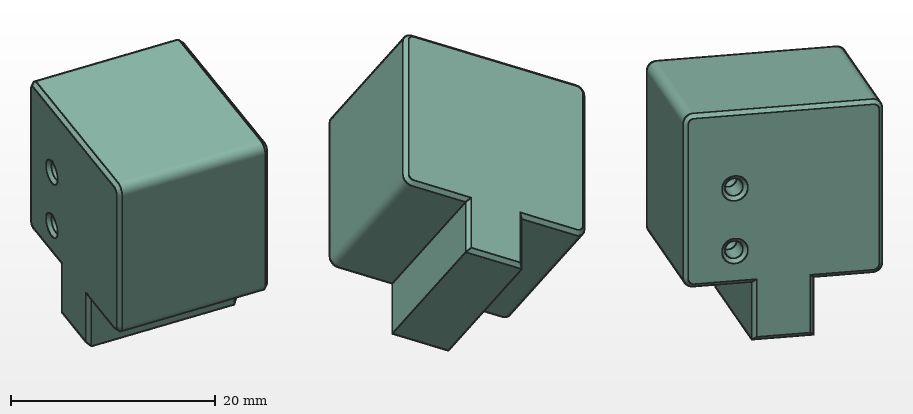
import cadquery as cq
import math

width = 20.0
depth = 16.35
height = 24.0

tongue_width = 6.2
tongue_height = 6.0

corner_radius = 1.0
edge_chamfer = 0.4

hole_diameter = 1.8
hole_mouth_diameter = 2.6
hole_depth = 3.0
drill_point_angle = 118
hole_x = -4.9
lower_hole_z = 9.5
hole_spacing = 6.5

front_y = -depth / 2


def make_block():
    """Rounded block with its four long edges filleted."""
    block_height = height - tongue_height
    block = cq.Workplane("XY").box(width, depth, block_height, centered=(True, True, False))
    return block.edges("|Y").fillet(corner_radius).translate((0, 0, tongue_height))


def make_tongue():
    """Square-edged tongue that overlaps the block so that the two fuse."""
    return cq.Workplane("XY").box(
        tongue_width, depth, tongue_height + corner_radius, centered=(True, True, False)
    )


def make_hole(z):
    """Countersunk blind hole with a conical drill point, as a cutting tool."""
    radius = hole_diameter / 2
    mouth_radius = hole_mouth_diameter / 2
    countersink_depth = mouth_radius - radius
    point_depth = radius / math.tan(math.radians(drill_point_angle / 2))
    profile = (
        cq.Workplane("XY")
        .moveTo(0, 0)
        .lineTo(mouth_radius, 0)
        .lineTo(radius, countersink_depth)
        .lineTo(radius, hole_depth)
        .lineTo(0, hole_depth + point_depth)
        .close()
    )
    return profile.revolve(360, (0, 0, 0), (0, 1, 0)).translate((hole_x, front_y, z))


result = make_block().union(make_tongue())
result = result.faces("<Y or >Y").edges().chamfer(edge_chamfer)
for hole_z in (lower_hole_z, lower_hole_z + hole_spacing):
    result = result.cut(make_hole(hole_z))